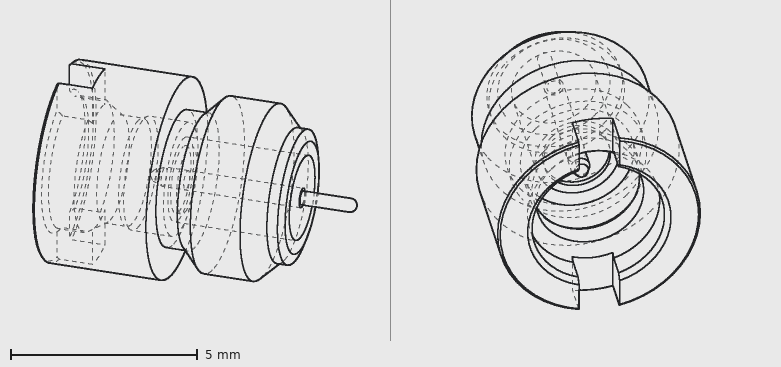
import cadquery as cq
import math


head_radius = 2.76
head_end = 3.19
head_chamfer = 0.06
neck_radius = 1.87
neck_end = 3.79
collar_radius = 2.415
collar_start = 4.33
collar_end = 5.72
tail_radius = 1.845
tail_start = 6.295
tail_chamfer_start = 6.59
tail_end = 6.71
tail_end_radius = 1.53

mouth_radius = 1.95
entry_radius = 1.805
mouth_depth = mouth_radius - entry_radius
taper_start = 0.865
taper_end = 1.39
bore_radius = 1.47
bore_end = 2.01
groove_radius = 1.55
groove_start = 2.175
bore_floor = 3.3
seat_radius = 1.15

slot_width = 1.105
slot_depth = 1.0

insulator_recess_radius = 0.915
insulator_recess_depth = 0.165

contact_radius = 0.26
contact_nose_radius = 0.19
contact_start = 2.47
contact_cone_length = 0.165
tail_pin_radius = 0.19
tail_pin_end = 8.24


def turned(profile):
    """Revolve a closed (X, radius) profile about the X axis."""
    return profile.close().revolve(360, (0, 0, 0), (1, 0, 0))


def cylinder(radius, start, end):
    """Solid cylinder on the X axis between two X positions."""
    return cq.Workplane("YZ", origin=(start, 0, 0)).circle(radius).extrude(end - start)


def make_housing():
    body = turned(
        cq.Workplane("XY")
        .moveTo(0, mouth_radius)
        .lineTo(0, head_radius - head_chamfer)
        .lineTo(head_chamfer, head_radius)
        .lineTo(head_end, head_radius)
        .lineTo(head_end, neck_radius)
        .lineTo(neck_end, neck_radius)
        .lineTo(collar_start, collar_radius)
        .lineTo(collar_end, collar_radius)
        .lineTo(tail_start, tail_radius)
        .lineTo(tail_chamfer_start, tail_radius)
        .lineTo(tail_end, tail_end_radius)
        .lineTo(tail_end, seat_radius)
        .lineTo(bore_floor, seat_radius)
        .lineTo(bore_floor, groove_radius)
        .lineTo(groove_start, groove_radius)
        .lineTo(bore_end, bore_radius)
        .lineTo(taper_end, bore_radius)
        .lineTo(taper_start, entry_radius)
        .lineTo(mouth_depth, entry_radius)
    )
    slot = cq.Workplane("XY").box(2 * slot_depth, slot_width, 2 * head_radius)
    return body.cut(slot)


def make_contact():
    nose_end = contact_start + contact_nose_radius
    dome_start = tail_pin_end - tail_pin_radius
    diagonal = math.sqrt(0.5)
    return turned(
        cq.Workplane("XY")
        .moveTo(contact_start, 0)
        .threePointArc(
            (nose_end - contact_nose_radius * diagonal, contact_nose_radius * diagonal),
            (nose_end, contact_nose_radius),
        )
        .lineTo(nose_end + contact_cone_length, contact_radius)
        .lineTo(tail_end, contact_radius)
        .lineTo(tail_end, tail_pin_radius)
        .lineTo(dome_start, tail_pin_radius)
        .threePointArc(
            (dome_start + tail_pin_radius * diagonal, tail_pin_radius * diagonal),
            (tail_pin_end, 0),
        )
    )


def make_insulator(contact):
    body = cylinder(seat_radius, bore_floor, tail_end)
    recess = cylinder(insulator_recess_radius, bore_floor, bore_floor + insulator_recess_depth)
    return body.cut(recess).cut(contact)


housing = make_housing()
contact = make_contact()
insulator = make_insulator(contact)

result = cq.Compound.makeCompound([housing.val(), insulator.val(), contact.val()])